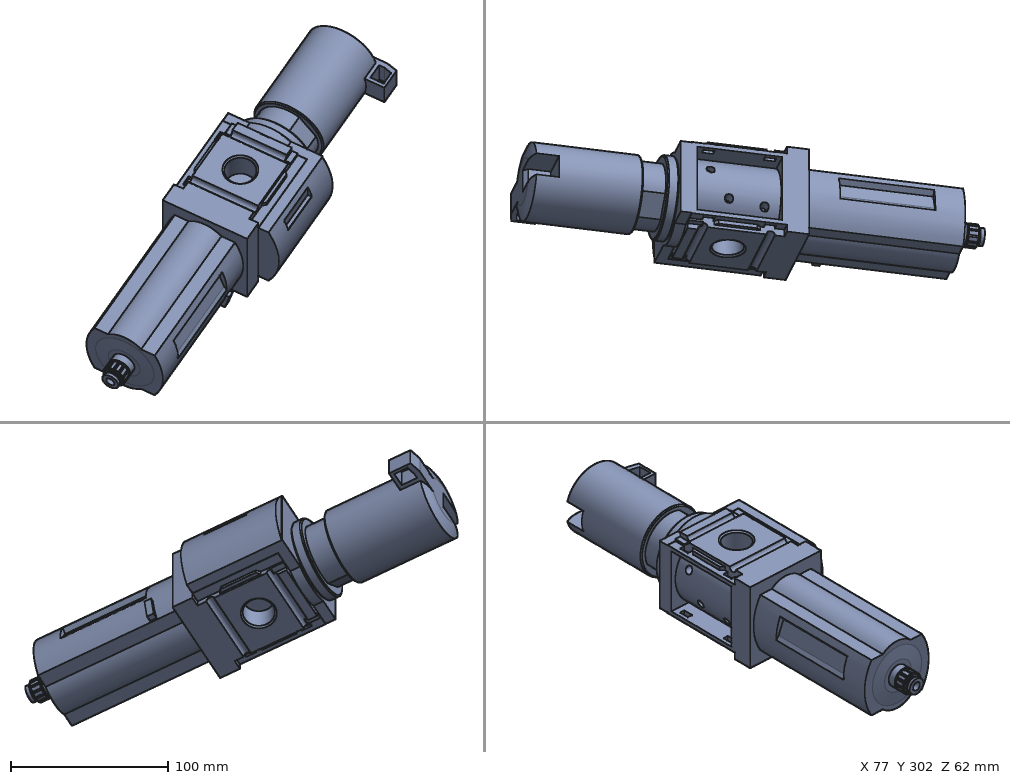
import cadquery as cq

TOTAL_LENGTH = 302.0
BOWL_BOTTOM = 18.5
HOUSING_BOTTOM = 121.5
BLOCK_TOP = 198.5
PLATE_TOP = 206.0
COLLAR_TOP = 213.5
KNOB_BOTTOM = 228.8

BLOCK_WIDTH = 62.0
HALF_WIDTH = BLOCK_WIDTH / 2
CORE_HALF_HEIGHT = 26.0
PLATE_CROWN_HEIGHT = 30.2
PLATE_CROWN_HALF_WIDTH = 15.0
BOSS_HALF_WIDTH = 24.0
STRIP_BOTTOM = 136.0
EDGE_CHAMFER = 1.0

COVER_EDGE_X = 38.3
COVER_REACH = 15.0
COVER_CROWN_X = HALF_WIDTH + COVER_REACH
COVER_HALF_HEIGHT = 25.7
BOW_SETBACK = 0.5
LABEL_X = (40.8, 43.8)
LABEL_Y = (151.8, 182.3)
LABEL_FLOOR_Z = 13.5

PORT_Y = 167.2
PORT_DIAMETER = 20.5
PORT_MOUTH_DIAMETER = 23.0
PORT_DEPTH = 18.0
GROOVE_DIAMETER = 5.5
GROOVE_STATIONS = (189.3, 145.2)
SHOULDER_HALF_WIDTH = 20.0
SHOULDER_HEIGHT = 27.5
TAB_REACH = 2.5
TAB_HALF_LENGTH = 15.0
TAB_HEIGHT = 28.7
CLIP_HOLE_WIDTH = 3.5
CLIP_HOLE_LENGTH = 7.2
CLIP_HOLE_STATIONS = (186.5, 146.0)

RECESS_Y = (139.2, 195.0)
RECESS_HALF_HEIGHT = 23.0
BORE_WALL_DIAMETER = 55.0
SIDE_HOLE_DIAMETER = 5.5
SIDE_HOLE_FLOOR_X = -18.0
SIDE_HOLES = ((184.7, 11.0), (173.0, -9.0), (149.5, -11.5))

COLLAR_DIAMETER = 55.0
NECK_DIAMETER = 43.8
NECK_ACROSS_FLATS = 40.0
NECK_FLAT_ANGLE = 45.0

KNOB_DIAMETER = 51.0
KNOB_RADIUS = KNOB_DIAMETER / 2
CROWN_RADIUS = 15.5
CROWN_DROP = 3.0
CROWN_MID_RADIUS = 21.7
CROWN_MID_DROP = 1.2
SLIDE_WIDTH = 15.5
SLIDE_BOTTOM = 284.0
SLIDE_END_X = 39.0
SLIDE_BEND_X = 30.8
SLIDE_END_DROP = 2.0
EYE_X = (27.2, 36.8)
EYE_BOTTOM = 286.8
EYE_WALL = 4.0

BOWL_HALF_WIDTH = 28.0
BOWL_CORNER_X = 22.0
BOWL_HALF_HEIGHT = 21.0
BOWL_CROWN_HALF_WIDTH = 12.0
BOWL_CROWN_HEIGHT = 25.7
WINDOW_Y = (38.0, 100.5)
WINDOW_MOUTH_Z = (-0.5, 16.0)
WINDOW_FLOOR = ((26.0, 2.0), (21.7, 12.7))
CATCH_Y = (100.5, 105.5)
CATCH_CORNERS = ((25.7, -7.2), (30.0, -7.2), (26.5, -20.2), (21.7, -20.2))
CONE_DIAMETER = 43.0
CONE_END_DIAMETER = 23.2
CONE_END = 17.5

DRAIN_DIAMETER = 15.7
DRAIN_NECK_DIAMETER = 11.0
DRAIN_TIP_DIAMETER = 11.8
DRAIN_HOLE_DIAMETER = 6.0
DRAIN_HOLE_DEPTH = 6.0
STEM_BOTTOM = 12.0
KNURL_TOP = 11.0
KNURL_BOTTOM = 4.0
KNURL_CHAMFER = 0.5
TIP_TOP = 2.7
KNURL_COUNT = 12
KNURL_WIDTH = 1.2
KNURL_DEPTH = 1.2


def box(x_range, y_range, z_range):
    """Axis-aligned box between the given limits."""
    size = [high - low for low, high in (x_range, y_range, z_range)]
    corner = cq.Vector(x_range[0], y_range[0], z_range[0])
    return cq.Workplane(cq.Solid.makeBox(*size, corner))


def section(y_top):
    """Sketch plane across the Y axis; a positive extrusion runs toward -Y."""
    return cq.Workplane("XZ", origin=(0, y_top, 0))


def disc(diameter, y_bottom, y_top):
    return section(y_top).circle(diameter / 2).extrude(y_top - y_bottom)


def both_faces(shape):
    """The shape together with its mirror image below the XY plane."""
    return shape.union(shape.mirror("XY"))


def both_sides(shape):
    """The shape together with its mirror image across the YZ plane."""
    return shape.union(shape.mirror("YZ"))


def block():
    base = box((-HALF_WIDTH, HALF_WIDTH), (HOUSING_BOTTOM, STRIP_BOTTOM), (-HALF_WIDTH, HALF_WIDTH))
    core = box(
        (-HALF_WIDTH, HALF_WIDTH), (STRIP_BOTTOM, BLOCK_TOP), (-CORE_HALF_HEIGHT, CORE_HALF_HEIGHT)
    )
    boss = box((-BOSS_HALF_WIDTH, BOSS_HALF_WIDTH), (STRIP_BOTTOM, BLOCK_TOP), (-HALF_WIDTH, HALF_WIDTH))
    return base.union(core).union(boss)


def end_plate():
    """End plate, level with the side cover."""
    return box((-HALF_WIDTH, HALF_WIDTH), (BLOCK_TOP, PLATE_TOP), (-COVER_HALF_HEIGHT, COVER_HALF_HEIGHT))


def plate_crown():
    """Rounded hump of the end plate on its top face."""
    return (
        section(PLATE_TOP)
        .moveTo(-PLATE_CROWN_HALF_WIDTH, 0)
        .lineTo(-PLATE_CROWN_HALF_WIDTH, COVER_HALF_HEIGHT)
        .threePointArc((0, PLATE_CROWN_HEIGHT), (PLATE_CROWN_HALF_WIDTH, COVER_HALF_HEIGHT))
        .lineTo(PLATE_CROWN_HALF_WIDTH, 0)
        .close()
        .extrude(PLATE_TOP - BLOCK_TOP)
    )


def gauge_cover():
    """Slab on the +X side with a bowed front and a label recess."""
    slab = box(
        (0, COVER_EDGE_X), (STRIP_BOTTOM, PLATE_TOP), (-COVER_HALF_HEIGHT, COVER_HALF_HEIGHT)
    )
    bow = (
        section(PLATE_TOP - BOW_SETBACK)
        .moveTo(COVER_EDGE_X, -COVER_HALF_HEIGHT)
        .threePointArc((COVER_CROWN_X, 0), (COVER_EDGE_X, COVER_HALF_HEIGHT))
        .close()
        .extrude(PLATE_TOP - BOW_SETBACK - STRIP_BOTTOM)
    )
    label = box(LABEL_X, LABEL_Y, (LABEL_FLOOR_Z, HALF_WIDTH))
    return slab.union(bow).cut(label)


def side_tab():
    """Tab with slanted ends on the +X flank of the upper port boss."""
    reach = BOSS_HALF_WIDTH + TAB_REACH
    outer_half = TAB_HALF_LENGTH - TAB_REACH
    return (
        cq.Workplane("XY", origin=(0, PORT_Y, 0))
        .polyline(
            [
                (0, -TAB_HALF_LENGTH),
                (BOSS_HALF_WIDTH, -TAB_HALF_LENGTH),
                (reach, -outer_half),
                (reach, outer_half),
                (BOSS_HALF_WIDTH, TAB_HALF_LENGTH),
                (0, TAB_HALF_LENGTH),
            ]
        )
        .close()
        .extrude(TAB_HEIGHT)
    )


def port():
    straight = cq.Solid.makeCylinder(
        PORT_DIAMETER / 2, PORT_DEPTH, cq.Vector(0, PORT_Y, HALF_WIDTH - PORT_DEPTH)
    )
    mouth_depth = (PORT_MOUTH_DIAMETER - PORT_DIAMETER) / 2
    mouth = cq.Solid.makeCone(
        PORT_DIAMETER / 2,
        PORT_MOUTH_DIAMETER / 2,
        mouth_depth,
        cq.Vector(0, PORT_Y, HALF_WIDTH - mouth_depth),
    )
    return cq.Workplane(straight).union(cq.Workplane(mouth))


def mounting_grooves():
    """Round grooves across the port boss, and the lowered shoulders behind the first one."""
    shoulder = box(
        (SHOULDER_HALF_WIDTH, HALF_WIDTH), (GROOVE_STATIONS[0], BLOCK_TOP), (SHOULDER_HEIGHT, HALF_WIDTH)
    )
    cutter = both_sides(shoulder)
    for y in GROOVE_STATIONS:
        groove = cq.Solid.makeCylinder(
            GROOVE_DIAMETER / 2, BLOCK_WIDTH, cq.Vector(-HALF_WIDTH, y, HALF_WIDTH), cq.Vector(1, 0, 0)
        )
        cutter = cutter.union(cq.Workplane(groove))
    return cutter


def side_recess():
    """Recess on the -X side that leaves the round bore wall standing."""
    pocket = box((-HALF_WIDTH, 0), RECESS_Y, (-RECESS_HALF_HEIGHT, RECESS_HALF_HEIGHT))
    return pocket.cut(disc(BORE_WALL_DIAMETER, *RECESS_Y))


def clip_holes():
    """Openings from the upper strip into the side recess."""
    holes = cq.Workplane()
    wall_z = (RECESS_HALF_HEIGHT, CORE_HALF_HEIGHT)
    outer_x = -BOSS_HALF_WIDTH - CLIP_HOLE_WIDTH
    half = CLIP_HOLE_LENGTH / 2
    for y in CLIP_HOLE_STATIONS:
        y_range = (y - half, y + half)
        holes = holes.add(box((outer_x, -BOSS_HALF_WIDTH), y_range, wall_z))
    return holes.combine()


def side_holes():
    """Blind holes in the bore wall, drilled from the -X side."""
    holes = cq.Workplane()
    for y, z in SIDE_HOLES:
        hole = cq.Solid.makeCylinder(
            SIDE_HOLE_DIAMETER / 2,
            HALF_WIDTH + SIDE_HOLE_FLOOR_X,
            cq.Vector(SIDE_HOLE_FLOOR_X, y, z),
            cq.Vector(-1, 0, 0),
        )
        holes = holes.add(cq.Workplane(hole))
    return holes.combine()


def collar_and_neck():
    collar = disc(COLLAR_DIAMETER, PLATE_TOP, COLLAR_TOP).edges().chamfer(EDGE_CHAMFER)
    neck = disc(NECK_DIAMETER, COLLAR_TOP, KNOB_BOTTOM)
    flats = (
        section(KNOB_BOTTOM)
        .transformed(rotate=(0, 0, NECK_FLAT_ANGLE))
        .rect(NECK_ACROSS_FLATS, 2 * NECK_DIAMETER)
        .extrude(KNOB_BOTTOM - COLLAR_TOP)
    )
    return collar.union(neck.intersect(flats))


def make_housing():
    body = block().union(end_plate()).union(gauge_cover())
    body = body.union(both_faces(plate_crown()))
    body = body.cut(both_faces(mounting_grooves()))
    body = body.union(both_faces(both_sides(side_tab())))
    body = body.cut(both_faces(port()))
    body = body.cut(side_recess())
    body = body.cut(both_faces(clip_holes()))
    body = body.cut(side_holes())
    return body.union(collar_and_neck())


def knob_barrel():
    """Turned barrel with a domed end and a chamfered lower rim."""
    return (
        cq.Workplane("XY")
        .moveTo(0, KNOB_BOTTOM)
        .lineTo(KNOB_RADIUS - EDGE_CHAMFER, KNOB_BOTTOM)
        .lineTo(KNOB_RADIUS, KNOB_BOTTOM + EDGE_CHAMFER)
        .lineTo(KNOB_RADIUS, TOTAL_LENGTH - CROWN_DROP)
        .threePointArc((CROWN_MID_RADIUS, TOTAL_LENGTH - CROWN_MID_DROP), (CROWN_RADIUS, TOTAL_LENGTH))
        .lineTo(0, TOTAL_LENGTH)
        .close()
        .revolve(360, (0, 0), (0, 1))
    )


def slide_outline(x_start, x_end, bottom, wall):
    """Slide side shape with a sloped outer end, set in from the top by the wall."""
    slope = SLIDE_END_DROP / (SLIDE_END_X - SLIDE_BEND_X)
    top = TOTAL_LENGTH - wall
    return (
        cq.Workplane("XY", origin=(0, 0, -SLIDE_WIDTH / 2))
        .moveTo(x_start, bottom)
        .lineTo(x_end, bottom)
        .lineTo(x_end, top - slope * (x_end - SLIDE_BEND_X))
        .lineTo(SLIDE_BEND_X, top)
        .lineTo(x_start, top)
        .close()
        .extrude(SLIDE_WIDTH)
    )


def slide_slot():
    """Slot open to the -X side; its inner end wall is beveled at the top."""
    bevel_bottom = TOTAL_LENGTH - CROWN_DROP
    return (
        cq.Workplane("XY", origin=(0, 0, -SLIDE_WIDTH / 2))
        .polyline(
            [
                (-KNOB_RADIUS, SLIDE_BOTTOM),
                (-CROWN_DROP, SLIDE_BOTTOM),
                (-CROWN_DROP, bevel_bottom),
                (0, TOTAL_LENGTH),
                (-KNOB_RADIUS, TOTAL_LENGTH),
            ]
        )
        .close()
        .extrude(SLIDE_WIDTH)
    )


def make_knob():
    slide = slide_outline(0, SLIDE_END_X, SLIDE_BOTTOM, 0)
    eye = slide_outline(*EYE_X, EYE_BOTTOM, EYE_WALL)
    return knob_barrel().cut(slide_slot()).union(slide).cut(eye)


def bowl_shell():
    """Bowl outline: bowed flanks, flat top and bottom, a round crown on each flat."""
    return (
        section(HOUSING_BOTTOM)
        .moveTo(-BOWL_CORNER_X, -BOWL_HALF_HEIGHT)
        .threePointArc((-BOWL_HALF_WIDTH, 0), (-BOWL_CORNER_X, BOWL_HALF_HEIGHT))
        .lineTo(-BOWL_CROWN_HALF_WIDTH, BOWL_HALF_HEIGHT)
        .threePointArc((0, BOWL_CROWN_HEIGHT), (BOWL_CROWN_HALF_WIDTH, BOWL_HALF_HEIGHT))
        .lineTo(BOWL_CORNER_X, BOWL_HALF_HEIGHT)
        .threePointArc((BOWL_HALF_WIDTH, 0), (BOWL_CORNER_X, -BOWL_HALF_HEIGHT))
        .lineTo(BOWL_CROWN_HALF_WIDTH, -BOWL_HALF_HEIGHT)
        .threePointArc((0, -BOWL_CROWN_HEIGHT), (-BOWL_CROWN_HALF_WIDTH, -BOWL_HALF_HEIGHT))
        .close()
        .extrude(HOUSING_BOTTOM - BOWL_BOTTOM)
    )


def window():
    """Recess with slanted walls in the +X flank of the bowl."""
    low, high = WINDOW_MOUTH_Z
    flank_radius = (BOWL_HALF_HEIGHT**2 + (BOWL_HALF_WIDTH - BOWL_CORNER_X) ** 2) / (
        2 * (BOWL_HALF_WIDTH - BOWL_CORNER_X)
    )
    high_x = BOWL_HALF_WIDTH - flank_radius + (flank_radius**2 - high**2) ** 0.5
    return (
        section(WINDOW_Y[1])
        .polyline(
            [
                (HALF_WIDTH, low),
                (BOWL_HALF_WIDTH, low),
                *WINDOW_FLOOR,
                (high_x, high),
                (HALF_WIDTH, high),
            ]
        )
        .close()
        .extrude(WINDOW_Y[1] - WINDOW_Y[0])
    )


def catch():
    """Release catch low on the +X flank."""
    return section(CATCH_Y[1]).polyline(CATCH_CORNERS).close().extrude(CATCH_Y[1] - CATCH_Y[0])


def drain():
    """Turned cone and drain screw."""
    stem = DRAIN_DIAMETER / 2
    neck = DRAIN_NECK_DIAMETER / 2
    tip = DRAIN_TIP_DIAMETER / 2
    profile = [
        (0, BOWL_BOTTOM),
        (CONE_DIAMETER / 2, BOWL_BOTTOM),
        (CONE_END_DIAMETER / 2, CONE_END),
        (stem, CONE_END),
        (stem, STEM_BOTTOM),
        (neck, STEM_BOTTOM),
        (neck, KNURL_TOP),
        (stem, KNURL_TOP),
        (stem, KNURL_BOTTOM + KNURL_CHAMFER),
        (stem - KNURL_CHAMFER, KNURL_BOTTOM),
        (neck, KNURL_BOTTOM),
        (neck, TIP_TOP),
        (tip, TIP_TOP),
        (tip, 0),
        (0, 0),
    ]
    turned = cq.Workplane("XY").polyline(profile).close().revolve(360, (0, 0), (0, 1))
    knurls = (
        section(KNURL_TOP)
        .polarArray(stem, 0, 360, KNURL_COUNT)
        .rect(2 * KNURL_DEPTH, KNURL_WIDTH)
        .extrude(KNURL_TOP - KNURL_BOTTOM)
    )
    return turned.cut(knurls).cut(disc(DRAIN_HOLE_DIAMETER, 0, DRAIN_HOLE_DEPTH))


def make_bowl():
    return bowl_shell().cut(both_sides(window())).union(catch()).union(drain())


housing = make_housing()
knob = make_knob()
bowl = make_bowl()
result = cq.Compound.makeCompound([body.solids().val() for body in (housing, knob, bowl)])